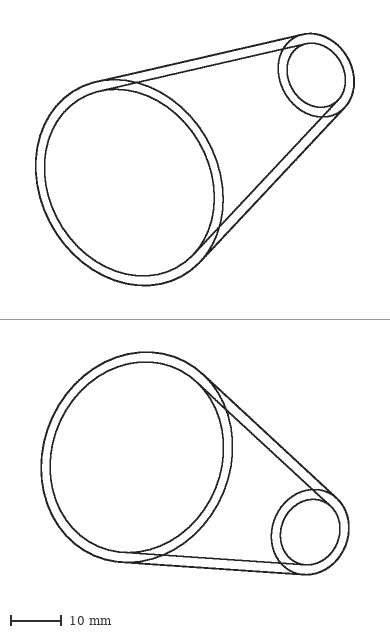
import cadquery as cq

length = 76.0
large_outer_diameter = 42.4
small_outer_diameter = 17.2
wall_thickness = 2.0

large_outer_radius = large_outer_diameter / 2
small_outer_radius = small_outer_diameter / 2
large_inner_radius = large_outer_radius - wall_thickness
small_inner_radius = small_outer_radius - wall_thickness


def make_reducer():
    """Revolve the sloping wall section around the Y axis."""
    wall_section = (
        cq.Workplane("XY")
        .moveTo(large_inner_radius, 0)
        .lineTo(large_outer_radius, 0)
        .lineTo(small_outer_radius, length)
        .lineTo(small_inner_radius, length)
        .close()
    )
    return wall_section.revolve(360, (0, 0, 0), (0, 1, 0))


result = make_reducer()